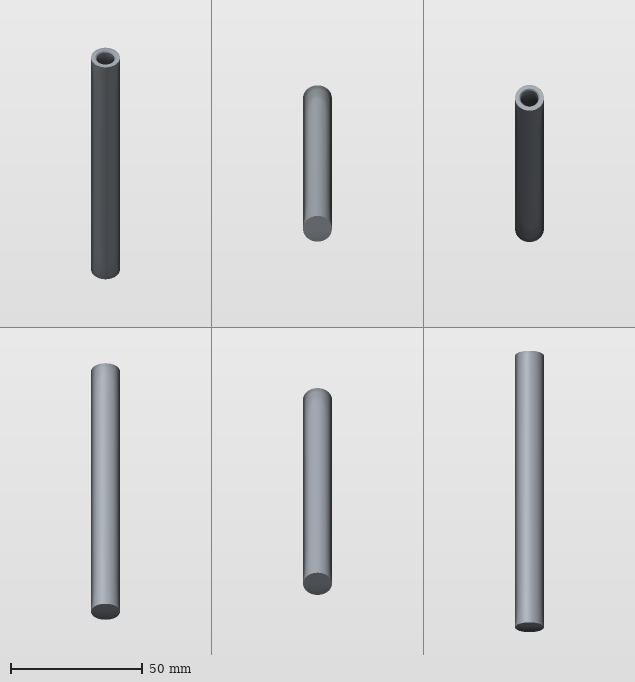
import cadquery as cq
import math

rod_length = 110.0
rod_diameter = 11.0

hole_diameter = 6.8
hole_depth = 16.5
tip_angle = 118.0

mouth_diameter = 7.8

hole_radius = hole_diameter / 2
mouth_radius = mouth_diameter / 2
mouth_depth = mouth_radius - hole_radius
tip_depth = hole_radius / math.tan(math.radians(tip_angle / 2))


def make_rod():
    return cq.Workplane("XY").circle(rod_diameter / 2).extrude(rod_length)


def make_hole():
    """Half profile of the countersunk hole, revolved about the Z axis."""
    hole_bottom = rod_length - hole_depth
    return (
        cq.Workplane("XZ")
        .moveTo(0, rod_length)
        .lineTo(mouth_radius, rod_length)
        .lineTo(hole_radius, rod_length - mouth_depth)
        .lineTo(hole_radius, hole_bottom)
        .lineTo(0, hole_bottom - tip_depth)
        .close()
        .revolve(360, (0, 0, 0), (0, 1, 0))
    )


result = make_rod().cut(make_hole())